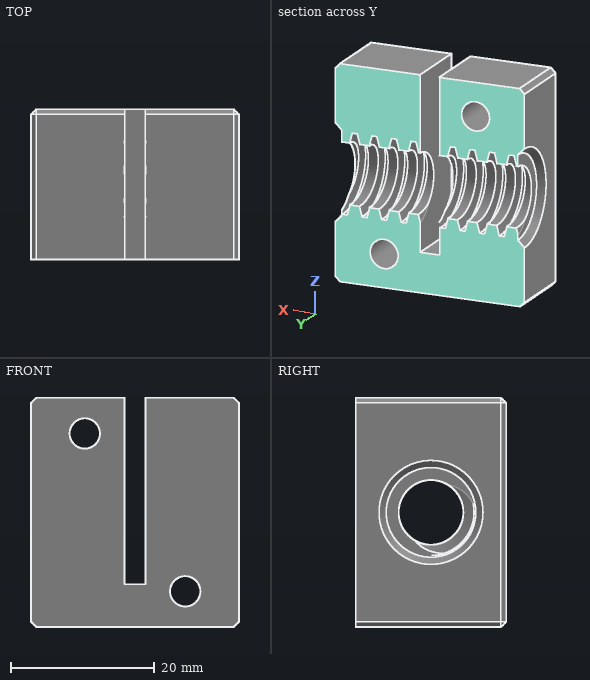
import cadquery as cq
import math

length = 29.0
width = 21.0
height = 32.0
edge_chamfer = 0.75

slot_width = 2.9
slot_depth = 26.0

cross_hole_diameter = 4.2
cross_hole_offset_x = 7.0
cross_hole_offset_z = 11.0

thread_pitch = 3.0
thread_minor_diameter = 9.0
thread_major_diameter = 12.0
groove_mouth_width = thread_pitch / 2
thread_flank_angle = 15.0
thread_start_angle = 60.0
groove_overlap = 0.2

countersink_diameter = 14.5
countersink_throat_diameter = 12.5
countersink_depth = 1.0


def make_block():
    """Block with chamfers on the edges along Y and around the +Y face."""
    block = cq.Workplane("XY").box(length, width, height)
    return block.edges("|Y or >Y").chamfer(edge_chamfer)


def make_slot():
    """Slot open at the top, running the full width of the block."""
    slot = cq.Workplane("XY").box(slot_width, width, slot_depth)
    return slot.translate((0, 0, (height - slot_depth) / 2))


def make_cross_holes():
    """Pair of through holes along Y, one high on the -X side, one low on the +X side."""
    positions = [
        (-cross_hole_offset_x, cross_hole_offset_z),
        (cross_hole_offset_x, -cross_hole_offset_z),
    ]
    holes = cq.Workplane("XZ").pushPoints(positions).circle(cross_hole_diameter / 2)
    return holes.extrude(width / 2, both=True)


def make_bore():
    """Minor-diameter bore with a conical countersink at each end, turned about X."""
    bore_radius = thread_minor_diameter / 2
    mouth_radius = countersink_diameter / 2
    throat_radius = countersink_throat_diameter / 2
    half_length = length / 2
    throat_x = half_length - countersink_depth
    outline = [
        (-half_length, 0),
        (-half_length, mouth_radius),
        (-throat_x, throat_radius),
        (-throat_x, bore_radius),
        (throat_x, bore_radius),
        (throat_x, throat_radius),
        (half_length, mouth_radius),
        (half_length, 0),
    ]
    return cq.Workplane("XY").polyline(outline).close().revolve(360, (0, 0, 0), (1, 0, 0))


def groove_half_width(radius):
    """Half the axial width of the thread groove at a given radius."""
    taper = math.tan(math.radians(thread_flank_angle))
    return groove_mouth_width / 2 - (radius - thread_minor_diameter / 2) * taper


def make_thread_groove():
    """Right-hand helical groove, trimmed to the length between the countersinks."""
    root_radius = thread_major_diameter / 2
    inner_radius = thread_minor_diameter / 2 - groove_overlap
    root_half = groove_half_width(root_radius)
    inner_half = groove_half_width(inner_radius)
    threaded_length = length - 2 * countersink_depth
    run_length = threaded_length + 2 * thread_pitch
    helix = cq.Wire.makeHelix(thread_pitch, run_length, root_radius)
    profile = cq.Workplane("XZ").polyline(
        [
            (inner_radius, -inner_half),
            (root_radius, -root_half),
            (root_radius, root_half),
            (inner_radius, inner_half),
        ]
    )
    groove = profile.close().sweep(cq.Workplane(obj=helix), isFrenet=True)
    groove = groove.translate((0, 0, -run_length / 2))
    groove = groove.rotate((0, 0, 0), (0, 0, 1), thread_start_angle)
    groove = groove.rotate((0, 0, 0), (0, 1, 0), 90)
    return groove.intersect(cq.Workplane("XY").box(threaded_length, width, height))


result = (
    make_block()
    .cut(make_bore())
    .cut(make_thread_groove())
    .cut(make_slot())
    .cut(make_cross_holes())
)